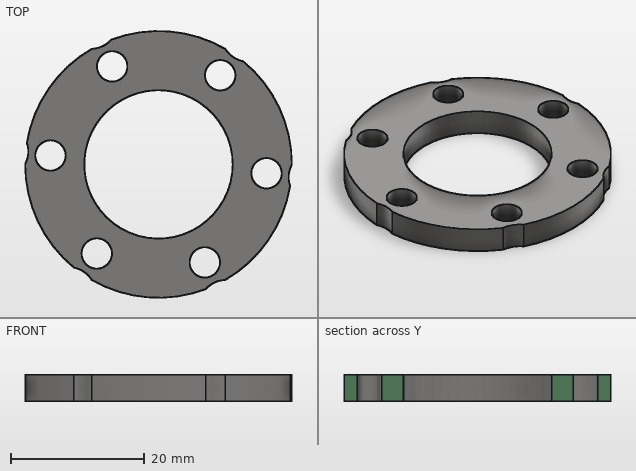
import cadquery as cq

outer_diameter = 40.0
bore_diameter = 22.2
thickness = 4.0

hole_count = 6
first_hole_angle = -4.7
hole_circle_radius = 16.25
hole_diameter = 4.5

notch_radius = 4.0
notch_center_radius = 23.6


def cylinders_around_axis(distance, radius):
    """Full-height cylinders, one at each hole direction."""
    return (
        cq.Workplane("XY")
        .polarArray(distance, first_hole_angle, 360.0, hole_count)
        .circle(radius)
        .extrude(thickness)
    )


ring = (
    cq.Workplane("XY")
    .circle(outer_diameter / 2)
    .circle(bore_diameter / 2)
    .extrude(thickness)
)
bolt_holes = cylinders_around_axis(hole_circle_radius, hole_diameter / 2)
rim_notches = cylinders_around_axis(notch_center_radius, notch_radius)

result = ring.cut(bolt_holes).cut(rim_notches)